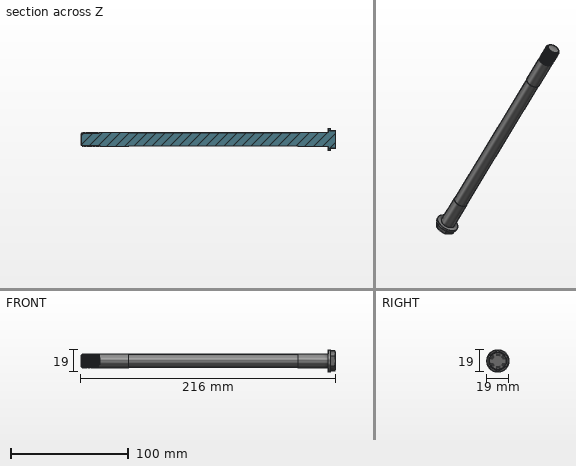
import cadquery as cq
import math

total_length = 216.0
shank_diameter = 12.0
relief_diameter = 11.5
tip_land_length = 40.5
head_land_length = 25.5

head_height = 6.5
flange_diameter = 19.0
flange_thickness = 2.0
hex_across_flats = 15.1
crown_face_diameter = 14.3
crown_depth = 0.9

thread_length = 16.2
thread_pitch = 1.5
thread_depth = 0.9
groove_mouth = 1.3
groove_root = 0.2
groove_overshoot = 0.2
groove_start = -1.3
groove_start_angle = 250.0
tip_face_diameter = 9.5
tip_chamfer_length = 1.3

head_start = total_length - head_height
relief_end = head_start - head_land_length
shank_radius = shank_diameter / 2
relief_radius = relief_diameter / 2
hex_across_corners = hex_across_flats / math.cos(math.pi / 6)


def make_shank():
    """Revolved shank with a chamfered tip and a slimmer middle stretch."""
    return (
        cq.Workplane("XZ")
        .moveTo(0, 0)
        .lineTo(0, tip_face_diameter / 2)
        .lineTo(tip_chamfer_length, shank_radius)
        .lineTo(tip_land_length, shank_radius)
        .lineTo(tip_land_length, relief_radius)
        .lineTo(relief_end, relief_radius)
        .lineTo(relief_end, shank_radius)
        .lineTo(head_start, shank_radius)
        .lineTo(head_start, 0)
        .close()
        .revolve(360, (0, 0, 0), (1, 0, 0))
    )


def make_head():
    """Round flange and a hexagon with corners on Z, crowned on its outer end."""
    flange = (
        cq.Workplane("YZ", origin=(head_start, 0, 0))
        .circle(flange_diameter / 2)
        .extrude(flange_thickness)
    )
    hexagon = (
        cq.Workplane("YZ", origin=(head_start, 0, 0))
        .polygon(6, hex_across_corners)
        .extrude(head_height)
        .rotate((0, 0, 0), (1, 0, 0), 90)
    )
    crown_start = total_length - crown_depth
    crown = (
        cq.Workplane("XY")
        .moveTo(head_start, 0)
        .lineTo(head_start, hex_across_corners / 2)
        .lineTo(crown_start, hex_across_corners / 2)
        .lineTo(total_length, crown_face_diameter / 2)
        .lineTo(total_length, 0)
        .close()
        .revolve(360, (0, 0, 0), (1, 0, 0))
    )
    return flange.union(hexagon.intersect(crown))


def make_thread_groove():
    """Right-hand helical V groove, starting in front of the tip."""
    helix_length = thread_length - groove_mouth / 2 - groove_start
    root_radius = shank_radius - thread_depth
    mouth_radius = shank_radius + groove_overshoot
    helix = cq.Workplane(cq.Wire.makeHelix(thread_pitch, helix_length, shank_radius))
    groove = (
        cq.Workplane("ZX")
        .moveTo(-groove_root / 2, root_radius)
        .lineTo(-groove_mouth / 2, mouth_radius)
        .lineTo(groove_mouth / 2, mouth_radius)
        .lineTo(groove_root / 2, root_radius)
        .close()
        .sweep(helix, isFrenet=True)
    )
    groove = groove.rotate((0, 0, 0), (0, 1, 0), 90).rotate((0, 0, 0), (1, 0, 0), groove_start_angle)
    return groove.translate((groove_start, 0, 0))


result = make_shank().cut(make_thread_groove()).union(make_head())